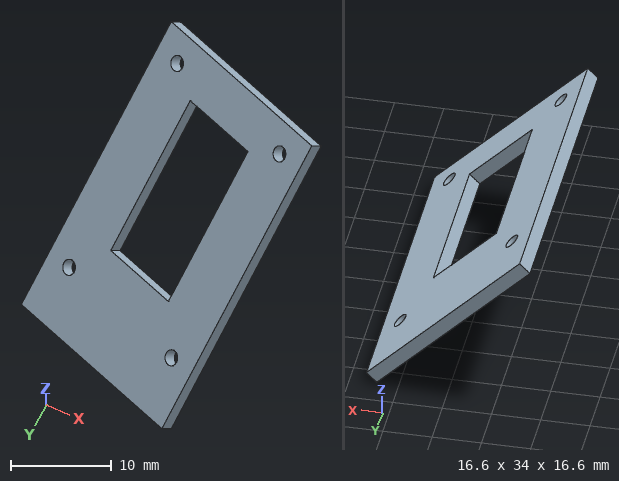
import cadquery as cq

plate_slope_length = 22.0
plate_width = 34.0
plate_thickness = 1.5
tilt_angle = 45.0

window_slope_length = 9.0
window_width = 18.0
window_edge_margin = 5.1

hole_diameter = 1.6
hole_slope_spacing = 16.0
hole_width_spacing = 24.5
hole_edge_margin = 3.0

front_edge_y = -plate_width / 2
window_center_y = front_edge_y + window_edge_margin + window_width / 2
hole_center_y = front_edge_y + hole_edge_margin + hole_width_spacing / 2


def make_plate():
    return cq.Workplane("XY").box(plate_slope_length, plate_width, plate_thickness)


def cut_window(plate):
    return (
        plate.faces(">Z")
        .workplane(origin=(0, window_center_y, 0))
        .rect(window_slope_length, window_width)
        .cutThruAll()
    )


def drill_mounting_holes(plate):
    return (
        plate.faces(">Z")
        .workplane(origin=(0, hole_center_y, 0))
        .rect(hole_slope_spacing, hole_width_spacing, forConstruction=True)
        .vertices()
        .hole(hole_diameter)
    )


flat_plate = drill_mounting_holes(cut_window(make_plate()))
result = flat_plate.rotate((0, 0, 0), (0, 1, 0), tilt_angle)